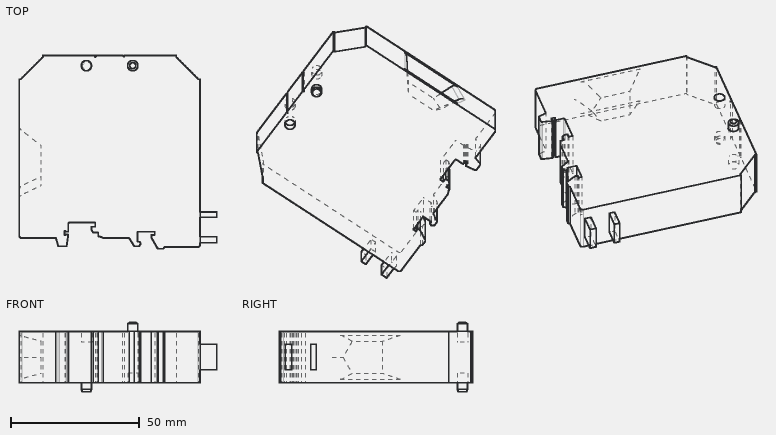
import cadquery as cq

WIDTH = 70.45
THICKNESS = 20
TOP_Y = 75.2
MID_X = WIDTH / 2
MID_Z = THICKNESS / 2
CORNER_CUT = 9.25
CORNER_STEP = 0.7
CORNER_RADIUS = 1.0

LEFT_FOOT_Y = 4.15
RIGHT_FOOT_Y = 0.6
CLAW_Y = 0.9
CLAW_ROOT_X = 14.3
CLAW_SHOULDER_Y = 5.2
CLAW_CHAMFER = 0.3
CLAW_LEFT_X = 15.25
CLAW_RIGHT_X = 18.55
CLAW_RADIUS = 0.5

RECESS_Y = 10.2
RECESS_LEFT_X = 19.2
RECESS_RIGHT_X = 29.65
RECESS_LIP_X = 28.1
RECESS_LIP_Y = 8.6
LIP_BEVEL_Y = 7.4
LIP_BEVEL_X = 28.8
STEP_X = 30.8
STEP_HIGH_Y = 6.3
STEP_LOW_Y = 4.85
STEP_RAMP_X = 32.0
STEP_RAMP_Y = 4.55
STEP_END_X = 32.7
SLIT_LOW_Y = 5.6
SLIT_HIGH_Y = 6.55
SLIT_END_X = 17.7
SLIT_RELIEF = 0.3

HOOK_RECESS_Y = 6.6
HOOK_RECESS_LEFT_X = 46.1
HOOK_RECESS_RIGHT_X = 52.75
HOOK_LIP_X = 51.5
HOOK_LIP_Y = 5.4
HOOK_ROOT_X = 42.8
HOOK_TIP_LEFT_X = 44.8
HOOK_TIP_RIGHT_X = 46.75
HOOK_NOSE_X = 47.35
HOOK_NOSE_Y = 1.9
HOOK_NOSE_BEVEL = 0.3
HOOK_CATCH_Y = 2.8

TOE_SLOPE_TOP_Y = 4.2
TOE_LEFT_X = 53.8
TOE_RIGHT_X = 56.7
TOE_BEVEL_Y = 0.15
TOE_FLAT_LEFT_X = 54.2
TOE_FLAT_RIGHT_X = 56.1

NICK_SPACING = 10
NICK_WIDTH = 0.6
NICK_DEPTH = 0.6

PIN_DIAMETER = 4.0
PIN_SPACING = 18.0
PIN_Y = 71.2
TOTAL_HEIGHT = 27.0
PIN_HEIGHT = (TOTAL_HEIGHT - THICKNESS) / 2
SOCKET_DEPTH = 4.0
UPPER_TAPER_HEIGHT = 0.6
UPPER_TIP_DIAMETER = 2.3
LOWER_TAPER_HEIGHT = 0.9
LOWER_TIP_DIAMETER = 3.2

TOTAL_WIDTH = 77
BLADE_DEPTH = 10
BLADE_SPANS = [(2.3, 4.8), (12.25, 14.4)]

POCKET_DEPTH = 8.55
MOUTH_TOP_Y = 46.9
MOUTH_SHOULDER_Y = 24.2
MOUTH_TIP_Y = 20.6
MOUTH_HEIGHT = 17.1
FLOOR_TOP_Y = 40.1
FLOOR_SHOULDER_Y = 28.25
FLOOR_TIP_Y = 24.7
FLOOR_HEIGHT = 12.5
MOUTH_RADIUS = 2.0


def nearest_edges(body, points):
    """Edges of the body whose centres lie closest to the given points."""
    edges = body.newObject([])
    for point in points:
        edges = edges.add(body.edges(cq.selectors.NearestToPointSelector(point)))
    return edges


def round_corners(block, corners, radius):
    """Fillet the edges along Z that stand on the given outline corners."""
    return nearest_edges(block, [(x, y, MID_Z) for x, y in corners]).fillet(radius)


def make_housing():
    outline = [
        (0, LEFT_FOOT_Y),
        (CLAW_ROOT_X, LEFT_FOOT_Y),
        (CLAW_LEFT_X, CLAW_Y),
        (CLAW_RIGHT_X, CLAW_Y),
        (RECESS_LEFT_X, CLAW_SHOULDER_Y),
        (RECESS_LEFT_X - CLAW_CHAMFER, SLIT_LOW_Y),
        (SLIT_END_X + SLIT_RELIEF, SLIT_LOW_Y),
        (SLIT_END_X + SLIT_RELIEF, SLIT_LOW_Y - SLIT_RELIEF),
        (SLIT_END_X, SLIT_LOW_Y - SLIT_RELIEF),
        (SLIT_END_X, SLIT_HIGH_Y + SLIT_RELIEF),
        (SLIT_END_X + SLIT_RELIEF, SLIT_HIGH_Y + SLIT_RELIEF),
        (SLIT_END_X + SLIT_RELIEF, SLIT_HIGH_Y),
        (RECESS_LEFT_X, SLIT_HIGH_Y),
        (RECESS_LEFT_X, RECESS_Y),
        (RECESS_RIGHT_X, RECESS_Y),
        (RECESS_RIGHT_X, RECESS_LIP_Y),
        (RECESS_LIP_X, RECESS_LIP_Y),
        (RECESS_LIP_X, LIP_BEVEL_Y),
        (LIP_BEVEL_X, STEP_HIGH_Y),
        (STEP_X, STEP_HIGH_Y),
        (STEP_X, STEP_LOW_Y),
        (STEP_RAMP_X, STEP_RAMP_Y),
        (STEP_END_X, LEFT_FOOT_Y),
        (HOOK_ROOT_X, LEFT_FOOT_Y),
        (HOOK_TIP_LEFT_X, CLAW_Y),
        (HOOK_TIP_RIGHT_X, CLAW_Y),
        (HOOK_NOSE_X, HOOK_NOSE_Y),
        (HOOK_NOSE_X - HOOK_NOSE_BEVEL, HOOK_CATCH_Y),
        (HOOK_RECESS_LEFT_X, HOOK_CATCH_Y),
        (HOOK_RECESS_LEFT_X, HOOK_RECESS_Y),
        (HOOK_RECESS_RIGHT_X, HOOK_RECESS_Y),
        (HOOK_RECESS_RIGHT_X, HOOK_LIP_Y),
        (HOOK_LIP_X, HOOK_LIP_Y),
        (HOOK_LIP_X, TOE_SLOPE_TOP_Y),
        (TOE_LEFT_X, TOE_BEVEL_Y),
        (TOE_FLAT_LEFT_X, 0),
        (TOE_FLAT_RIGHT_X, 0),
        (TOE_RIGHT_X, RIGHT_FOOT_Y),
        (WIDTH, RIGHT_FOOT_Y),
        (WIDTH, TOP_Y - CORNER_CUT),
        (WIDTH - CORNER_STEP, TOP_Y - CORNER_CUT),
        (WIDTH - CORNER_CUT, TOP_Y - CORNER_STEP),
        (WIDTH - CORNER_CUT, TOP_Y),
        (CORNER_CUT, TOP_Y),
        (CORNER_CUT, TOP_Y - CORNER_STEP),
        (CORNER_STEP, TOP_Y - CORNER_CUT),
        (0, TOP_Y - CORNER_CUT),
    ]
    block = cq.Workplane("XY").polyline(outline).close().extrude(THICKNESS)
    block = round_corners(block, [(0, LEFT_FOOT_Y), (WIDTH, RIGHT_FOOT_Y)], CORNER_RADIUS)
    claw_corners = [
        (CLAW_LEFT_X, CLAW_Y),
        (CLAW_RIGHT_X, CLAW_Y),
        (RECESS_LEFT_X, RECESS_Y),
    ]
    return round_corners(block, claw_corners, CLAW_RADIUS)


def make_nick(side):
    """Slanted groove in the top edge; side is -1 (left) or 1 (right), leaning outward."""
    mouth_x = MID_X + side * NICK_SPACING / 2
    outline = [
        (mouth_x, TOP_Y),
        (mouth_x + side * NICK_WIDTH, TOP_Y),
        (mouth_x + side * NICK_DEPTH, TOP_Y - NICK_DEPTH),
    ]
    return cq.Workplane("XY").polyline(outline).close().extrude(THICKNESS)


def make_pin(x, base_z, direction, tip_diameter, taper_height):
    """Round pin with a tapered tip; direction is 1 (upward) or -1 (downward)."""
    radius = PIN_DIAMETER / 2
    profile = [
        (0, 0),
        (radius, 0),
        (radius, direction * (PIN_HEIGHT - taper_height)),
        (tip_diameter / 2, direction * PIN_HEIGHT),
        (0, direction * PIN_HEIGHT),
    ]
    pin = cq.Workplane("XZ").polyline(profile).close().revolve(360, (0, 0), (0, 1))
    return pin.translate((x, PIN_Y, base_z))


def make_socket(x, floor_z):
    return cq.Workplane("XY", origin=(x, PIN_Y, floor_z)).circle(PIN_DIAMETER / 2).extrude(SOCKET_DEPTH)


def make_blade(low_y, high_y):
    size = (TOTAL_WIDTH - WIDTH, high_y - low_y, BLADE_DEPTH)
    centre = ((WIDTH + TOTAL_WIDTH) / 2, (low_y + high_y) / 2, MID_Z)
    return cq.Workplane("XY").box(*size).translate(centre)


def pocket_outline(top_y, shoulder_y, tip_y, height):
    low_z = MID_Z - height / 2
    high_z = MID_Z + height / 2
    return [(top_y, low_z), (top_y, high_z), (shoulder_y, high_z), (tip_y, MID_Z), (shoulder_y, low_z)]


def cut_pocket(body):
    mouth = pocket_outline(MOUTH_TOP_Y, MOUTH_SHOULDER_Y, MOUTH_TIP_Y, MOUTH_HEIGHT)
    floor = pocket_outline(FLOOR_TOP_Y, FLOOR_SHOULDER_Y, FLOOR_TIP_Y, FLOOR_HEIGHT)
    funnel = (
        cq.Workplane("YZ")
        .polyline(mouth).close()
        .workplane(offset=POCKET_DEPTH)
        .polyline(floor).close()
        .loft(ruled=True, combine=True)
    )
    body = body.cut(funnel)
    slope_y = (MOUTH_SHOULDER_Y + MOUTH_TIP_Y) / 2
    mouth_edges = [
        (0, MOUTH_TOP_Y, MID_Z),
        (0, slope_y, MID_Z - MOUTH_HEIGHT / 4),
        (0, slope_y, MID_Z + MOUTH_HEIGHT / 4),
    ]
    return nearest_edges(body, mouth_edges).fillet(MOUTH_RADIUS)


left_pin_x = MID_X - PIN_SPACING / 2
right_pin_x = MID_X + PIN_SPACING / 2

result = cut_pocket(make_housing())
for side in (-1, 1):
    result = result.cut(make_nick(side))
result = result.cut(make_socket(left_pin_x, THICKNESS - SOCKET_DEPTH))
result = result.cut(make_socket(right_pin_x, 0))
result = result.union(make_pin(right_pin_x, THICKNESS, 1, UPPER_TIP_DIAMETER, UPPER_TAPER_HEIGHT))
result = result.union(make_pin(left_pin_x, 0, -1, LOWER_TIP_DIAMETER, LOWER_TAPER_HEIGHT))
for low_y, high_y in BLADE_SPANS:
    result = result.union(make_blade(low_y, high_y))